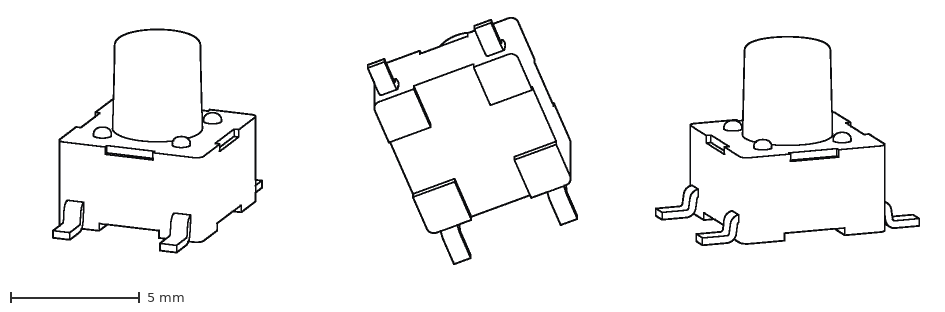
import cadquery as cq
import math

body_width = 6.0
body_height = 3.45
corner_radius = 0.3
cover_thickness = 0.3

notch_length = 2.0
notch_depth = 0.2

channel_width = 2.5
channel_height = 0.3

total_height = 7.0
button_base_diameter = 3.5
button_top_diameter = 3.34
button_edge_radius = 0.2

rivet_diameter = 0.7
rivet_height = 0.3
rivet_edge_radius = 0.25
rivet_spacing = 3.29

lead_span = 9.0
lead_spacing = 4.46
lead_width = 0.7
lead_thickness = 0.3
lead_height = 1.1
inner_bend_radius = 0.1
lead_tilt = math.radians(8)
foot_length = 1.01
lead_embed = 0.18

half_width = body_width / 2
outer_bend_radius = inner_bend_radius + lead_thickness


def square_corners(spacing):
    """Corner positions of a square centred on the Z axis."""
    half = spacing / 2
    return [(x, y) for x in (-half, half) for y in (-half, half)]


def make_housing():
    housing = (
        cq.Workplane("XY")
        .rect(body_width, body_width)
        .extrude(body_height)
        .edges("|Z")
        .fillet(corner_radius)
    )
    for length_x, length_y in ((channel_width, body_width), (body_width, channel_width)):
        channel = cq.Workplane("XY").rect(length_x, length_y).extrude(channel_height)
        housing = housing.cut(channel)

    notch = (
        cq.Workplane("XY", origin=(0, half_width - notch_depth / 2, body_height - cover_thickness))
        .rect(notch_length, notch_depth)
        .extrude(cover_thickness)
    )
    for angle in (0, 90, 180, 270):
        housing = housing.cut(notch.rotate((0, 0, 0), (0, 0, 1), angle))
    return housing


def make_button():
    return (
        cq.Workplane("XY", origin=(0, 0, body_height))
        .circle(button_base_diameter / 2)
        .workplane(offset=total_height - body_height)
        .circle(button_top_diameter / 2)
        .loft(ruled=True)
        .faces(">Z")
        .edges()
        .fillet(button_edge_radius)
    )


def make_rivets():
    return (
        cq.Workplane("XY", origin=(0, 0, body_height))
        .pushPoints(square_corners(rivet_spacing))
        .circle(rivet_diameter / 2)
        .extrude(rivet_height)
        .faces(">Z")
        .edges()
        .fillet(rivet_edge_radius)
    )


def make_lead():
    """One lead on the +Y side, centred on X = 0; its outline is drawn as (Y, Z) points."""
    tip_y = lead_span / 2
    root_y = half_width - lead_embed

    lower_y = tip_y - foot_length
    lower_z = outer_bend_radius
    upper_z = lead_height - outer_bend_radius
    bend_rise = upper_z - lower_z
    bend_run = (
        inner_bend_radius + outer_bend_radius + bend_rise * math.sin(lead_tilt)
    ) / math.cos(lead_tilt)
    upper_y = lower_y - bend_run

    def on_upper_bend(radius, angle):
        return (upper_y + radius * math.cos(angle), upper_z + radius * math.sin(angle))

    def on_lower_bend(radius, angle):
        return (lower_y - radius * math.cos(angle), lower_z - radius * math.sin(angle))

    middle_angle = (lead_tilt + math.pi / 2) / 2
    end_angle = math.pi / 2

    outline = (
        cq.Workplane("YZ", origin=(-lead_width / 2, 0, 0))
        .moveTo(root_y, lead_height)
        .lineTo(upper_y, lead_height)
        .threePointArc(
            on_upper_bend(outer_bend_radius, middle_angle), on_upper_bend(outer_bend_radius, lead_tilt)
        )
        .lineTo(*on_lower_bend(inner_bend_radius, lead_tilt))
        .threePointArc(
            on_lower_bend(inner_bend_radius, middle_angle), on_lower_bend(inner_bend_radius, end_angle)
        )
        .lineTo(tip_y, lead_thickness)
        .lineTo(tip_y, 0)
        .lineTo(lower_y, 0)
        .threePointArc(
            on_lower_bend(outer_bend_radius, middle_angle), on_lower_bend(outer_bend_radius, lead_tilt)
        )
        .lineTo(*on_upper_bend(inner_bend_radius, lead_tilt))
        .threePointArc(
            on_upper_bend(inner_bend_radius, middle_angle), on_upper_bend(inner_bend_radius, end_angle)
        )
        .lineTo(root_y, lead_height - lead_thickness)
        .close()
    )
    return outline.extrude(lead_width)


result = make_housing().union(make_button()).union(make_rivets())

lead = make_lead()
for lead_x in (-lead_spacing / 2, lead_spacing / 2):
    back_lead = lead.translate((lead_x, 0, 0))
    result = result.union(back_lead).union(back_lead.mirror("XZ"))